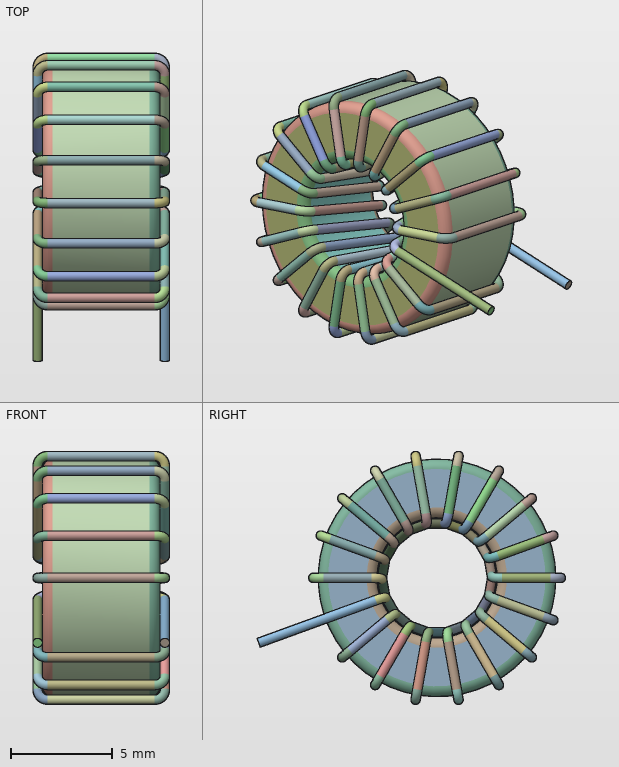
import cadquery as cq
import math

core_outer_radius = 5.83
core_bore_radius = 2.94
core_width = 5.77
core_edge_fillet = 0.5

wire_diameter = 0.47
wire_radius = wire_diameter / 2
bend_radius = 0.5
station_count = 18
station_step = 360 / station_count
lead_angle = -station_step
lead_tip_radius = 9.31

side_offset = core_width / 2 + wire_radius
outer_path_radius = core_outer_radius + wire_radius
inner_path_radius = core_bore_radius - wire_radius


def build_core():
    """Ring with all four circular edges rounded."""
    ring = (
        cq.Workplane("YZ", origin=(-core_width / 2, 0, 0))
        .circle(core_outer_radius)
        .circle(core_bore_radius)
        .extrude(core_width)
    )
    return ring.edges("%CIRCLE").fillet(core_edge_fillet)


def polar_point(x, radius, angle):
    """Point at a radius from the X axis; angle 0 is -Y and 90 degrees is +Z."""
    turn = math.radians(angle)
    return cq.Vector(x, -radius * math.cos(turn), radius * math.sin(turn))


def winding_corners():
    """Sharp corners of the wire route between the lead tips."""
    corners = []
    for station in range(station_count):
        start_angle = lead_angle + station * station_step
        end_angle = start_angle + station_step
        if station > 0:
            corners.append(polar_point(-side_offset, outer_path_radius, start_angle))
        corners.append(polar_point(-side_offset, inner_path_radius, start_angle))
        corners.append(polar_point(side_offset, inner_path_radius, end_angle))
        if station < station_count - 1:
            corners.append(polar_point(side_offset, outer_path_radius, end_angle))
    return corners


def bend_points(previous, corner, following):
    """Start, middle and end of the arc that rounds a corner."""
    toward_previous = (previous - corner).normalized()
    toward_following = (following - corner).normalized()
    half_angle = toward_previous.getAngle(toward_following) / 2
    setback = bend_radius / math.tan(half_angle)
    gap_to_arc = bend_radius / math.sin(half_angle) - bend_radius
    bisector = (toward_previous + toward_following).normalized()
    return (
        corner + toward_previous * setback,
        corner + bisector * gap_to_arc,
        corner + toward_following * setback,
    )


def build_winding():
    """Round wire swept along straight runs joined by tangent bends."""
    first_tip = polar_point(-side_offset, lead_tip_radius, lead_angle)
    last_tip = polar_point(side_offset, lead_tip_radius, lead_angle)
    route = [first_tip] + winding_corners() + [last_tip]

    edges = []
    run_start = first_tip
    for previous, corner, following in zip(route, route[1:], route[2:]):
        bend_start, bend_middle, bend_end = bend_points(previous, corner, following)
        edges.append(cq.Edge.makeLine(run_start, bend_start))
        edges.append(cq.Edge.makeThreePointArc(bend_start, bend_middle, bend_end))
        run_start = bend_end
    edges.append(cq.Edge.makeLine(run_start, last_tip))

    path = cq.Workplane(cq.Wire.assembleEdges(edges))
    tip_plane = cq.Plane(first_tip, xDir=(1, 0, 0), normal=route[1] - first_tip)
    return cq.Workplane(tip_plane).circle(wire_radius).sweep(path)


core = build_core()
winding = build_winding()

result = cq.Compound.makeCompound([core.val(), winding.val()])